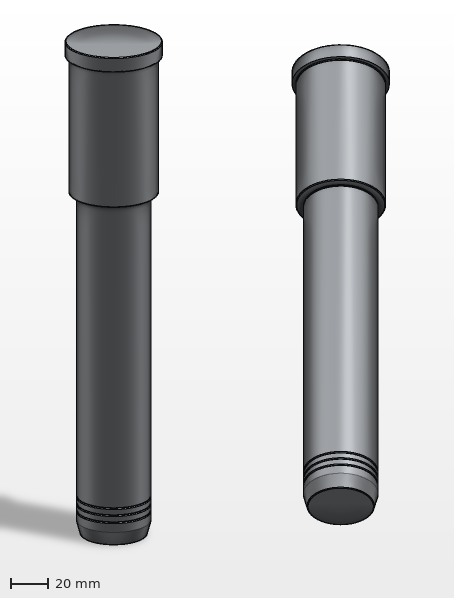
import cadquery as cq
import math

total_length = 280.0

head_diameter = 52.0
head_height = 8.0
head_edge_chamfer = 0.5

shoulder_diameter = 48.0
shoulder_length = 78.0
shoulder_edge_chamfer = 0.5

relief_depth = 0.5
relief_width = 1.0

shaft_diameter = 40.0

lead_in_height = 8.0
lead_in_angle = 15.0
end_edge_chamfer = 0.4

groove_width = 1.0
groove_depth = 0.5
groove_count = 3
groove_pitch = 4.0
first_groove_bottom = 13.0

head_radius = head_diameter / 2
shoulder_radius = shoulder_diameter / 2
shaft_radius = shaft_diameter / 2
end_radius = shaft_radius - lead_in_height * math.tan(math.radians(lead_in_angle))
head_bottom = total_length - head_height
shoulder_bottom = head_bottom - shoulder_length


def cylinder(radius, bottom, top):
    """Solid cylinder on the Z axis between two heights."""
    return cq.Workplane("XY").workplane(offset=bottom).circle(radius).extrude(top - bottom)


def turned(profile_points):
    """Solid of revolution about Z from a closed outline of (radius, height) points."""
    return cq.Workplane("XZ").polyline(profile_points).close().revolve(360, (0, 0, 0), (0, 1, 0))


def head():
    """Flange with its top edge broken."""
    flange = cylinder(head_radius, head_bottom, total_length)
    return flange.faces(">Z").edges().chamfer(head_edge_chamfer)


def shoulder():
    """Thicker length under the head with its lower edge broken."""
    body = cylinder(shoulder_radius, shoulder_bottom, head_bottom)
    return body.faces("<Z").edges().chamfer(shoulder_edge_chamfer)


def shaft():
    """Long shaft with a conical lead-in and a broken end edge."""
    body = turned([
        (0, 0),
        (end_radius, 0),
        (shaft_radius, lead_in_height),
        (shaft_radius, shoulder_bottom),
        (0, shoulder_bottom),
    ])
    return body.faces("<Z").edges().chamfer(end_edge_chamfer)


def vee_groove(radius, bottom):
    """V-shaped ring cut into a cylinder of the given radius."""
    return turned([
        (radius, bottom),
        (radius - groove_depth, bottom + groove_width / 2),
        (radius, bottom + groove_width),
    ])


def shaft_relief():
    """Square ring that undercuts the shaft just below the shoulder."""
    relief_bottom = shoulder_bottom - relief_width
    relief_radius = shaft_radius - relief_depth
    return turned([
        (relief_radius, relief_bottom),
        (shaft_radius, relief_bottom),
        (shaft_radius, shoulder_bottom),
        (relief_radius, shoulder_bottom),
    ])


result = shaft().union(shoulder()).union(head())

result = result.cut(shaft_relief())
result = result.cut(vee_groove(shoulder_radius, head_bottom - groove_width))

for index in range(groove_count):
    result = result.cut(vee_groove(shaft_radius, first_groove_bottom + index * groove_pitch))